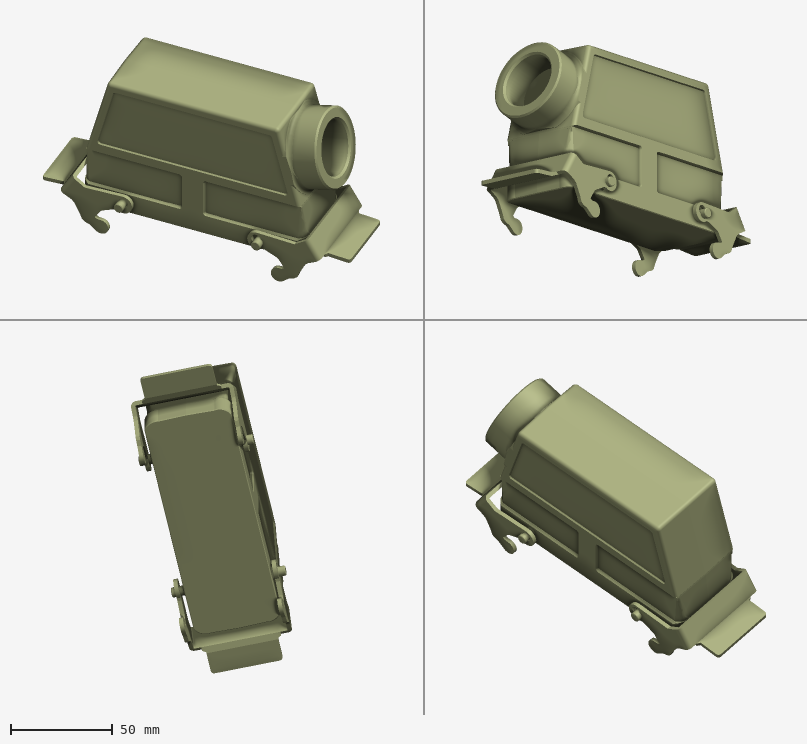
import cadquery as cq
import math


WIDTH = 43.6
HALF_WIDTH = WIDTH / 2
HEIGHT = 75.8
SHOULDER_HEIGHT = 31.5
SHOULDER_HALF_LENGTH = 58.2
BREAK_HEIGHT = 30.5
BREAK_HALF_LENGTH = 58.4
BASE_HEIGHT = 11.6
BASE_HALF_LENGTH = 60.2
END_SLOPE = 15
DRAFT = 1
EDGE_RADIUS = 2.2
BOTTOM_EDGE_CHAMFER = 0.41
SHOULDER_OVERLAP = 3.3
SHOULDER_CORNER = (1.0, 2.2)
BASE_CORNER = (3.6, 7.6)

PANEL_RADIUS = 1.7
UPPER_PANEL_BOTTOM = 36.8
UPPER_PANEL_TOP = 71.0
UPPER_PANEL_HALF_LENGTH = 51.8
UPPER_PANEL_DEPTH = 0.8
LOWER_PANEL_BOTTOM = 11.0
LOWER_PANEL_TOP = 32.0
LOWER_PANEL_INNER_X = 5.6
LOWER_PANEL_DEPTH = 1.5
FLANK_HALF_LENGTH = 13.3
PANEL_TOP_CORNER = (0.8, 1.7)
PANEL_BOTTOM_CORNER = (3.6, 7.1)
PANEL_WALL_TAPER = 30

COLLAR_DIAMETER = 41.6
COLLAR_LENGTH = 15.5
COLLAR_SHOULDER_GAP = 1.0
COLLAR_EDGE_CHAMFER = 0.8
COLLAR_FLARE_RADIUS = 2.5
COLLAR_SINK = 2.5
FLARE_SIDE_CHAMFER = 2.0
FLARE_TOP_MARGIN = 1.0
BORE_DIAMETER = 28.4
BORE_CHAMFER = 1.0

PIN_DIAMETER = 5.0
PIN_X = 37.0
PIN_Z = 6.22
PIN_TIP_Y = 28.62
PIN_CHAMFER = 0.3
PIN_SINK = 3.3
BOSS_BASE_DIAMETER = 6.8
BOSS_HEIGHT = 0.8

SHEET = 2.07
LEVER_HALF_WIDTH = 25.7
LEVER_BEND_RADIUS = 2.7
LEFT_LEVER_OFFSET = 0.2
RIGHT_LEVER_OFFSET = 0.8
EYE_X = 35.92
EYE_Z = 6.88
EYE_RADIUS = 5.0
EYE_HOLE_X = 35.7
EYE_HOLE_Z = 8.0
HOOK_X = 47.8
HOOK_Z = -10.1
HOOK_RADIUS = 4.06
WEB_TOP = (63.5, 15.8)
WEB_BOTTOM = (70.2, 5.3)
TAB_TIP_X = 83.0
TAB_TOP_ROOT_Z = 5.1
TAB_TOP_TIP_Z = 4.5
TAB_HALF_WIDTH = 18.0
TAB_CORNER_RADIUS = 1.7
TAB_ROOT_GAP = 1.5
TAB_FLARE_LENGTH = 1.0
TAB_ROOT_FLARE = 1.8

sin_slope = math.sin(math.radians(END_SLOPE))
cos_slope = math.cos(math.radians(END_SLOPE))
tan_slope = math.tan(math.radians(END_SLOPE))
side_inset = HALF_WIDTH * math.tan(math.radians(DRAFT))
top_half_length = SHOULDER_HALF_LENGTH - (HEIGHT - SHOULDER_HEIGHT) * tan_slope


def make_upper_block():
    """Upper half of the housing: a trapezium drafted to both sides, with rounded edges."""
    leg_z = SHOULDER_HEIGHT - SHOULDER_OVERLAP
    outline = [
        (-SHOULDER_HALF_LENGTH, leg_z),
        (-SHOULDER_HALF_LENGTH, SHOULDER_HEIGHT),
        (-top_half_length, HEIGHT),
        (top_half_length, HEIGHT),
        (SHOULDER_HALF_LENGTH, SHOULDER_HEIGHT),
        (SHOULDER_HALF_LENGTH, leg_z),
    ]
    half = cq.Workplane("XZ").polyline(outline).close().extrude(HALF_WIDTH, taper=DRAFT)
    middle = (SHOULDER_HEIGHT + HEIGHT) / 2
    upper_edges = cq.selectors.BoxSelector(
        (-BASE_HALF_LENGTH, -HALF_WIDTH - 1.7, middle - 1.7), (BASE_HALF_LENGTH, -0.2, HEIGHT + 1.7)
    )
    half = half.edges(upper_edges).fillet(EDGE_RADIUS)
    return half.union(half.mirror("XZ"))


def lower_section(z, half_length, half_width, corner):
    """Plan outline of the lower block: ends slightly pointed at Y = 0, corners curved."""
    corner_x, corner_y = corner
    side_x = half_length - side_inset - corner_x
    end_x = half_length - side_inset
    end_y = half_width - corner_y
    bulge = math.sqrt(0.5)
    arc_x = side_x + corner_x * bulge
    arc_y = end_y + corner_y * bulge
    return (
        cq.Workplane("XY", origin=(0, 0, z))
        .moveTo(half_length, 0)
        .lineTo(end_x, end_y)
        .threePointArc((arc_x, arc_y), (side_x, half_width))
        .lineTo(-side_x, half_width)
        .threePointArc((-arc_x, arc_y), (-end_x, end_y))
        .lineTo(-half_length, 0)
        .lineTo(-end_x, -end_y)
        .threePointArc((-arc_x, -arc_y), (-side_x, -half_width))
        .lineTo(side_x, -half_width)
        .threePointArc((arc_x, -arc_y), (end_x, -end_y))
        .close()
        .wire()
        .val()
    )


def make_lower_block():
    """Upright base, flared middle with rounded ends and flat flanks, and the shoulder break."""
    panel_half_width = HALF_WIDTH - LOWER_PANEL_DEPTH
    edge = BOTTOM_EDGE_CHAMFER
    layers = [
        (
            lower_section(0, BASE_HALF_LENGTH - edge, HALF_WIDTH - edge, BASE_CORNER),
            lower_section(edge, BASE_HALF_LENGTH, HALF_WIDTH, BASE_CORNER),
            lower_section(BASE_HEIGHT, BASE_HALF_LENGTH, HALF_WIDTH, BASE_CORNER),
        ),
        (
            lower_section(BASE_HEIGHT, BASE_HALF_LENGTH, panel_half_width, PANEL_BOTTOM_CORNER),
            lower_section(BREAK_HEIGHT, BREAK_HALF_LENGTH, panel_half_width, PANEL_TOP_CORNER),
        ),
        (
            lower_section(BREAK_HEIGHT, BREAK_HALF_LENGTH, HALF_WIDTH, SHOULDER_CORNER),
            lower_section(SHOULDER_HEIGHT, SHOULDER_HALF_LENGTH, HALF_WIDTH, SHOULDER_CORNER),
        ),
    ]
    base, middle, shoulder = [cq.Workplane(cq.Solid.makeLoft(list(layer), True)) for layer in layers]
    flanks = cq.Workplane("XY", origin=(0, 0, BASE_HEIGHT)).box(
        2 * FLANK_HALF_LENGTH, WIDTH, BREAK_HEIGHT - BASE_HEIGHT, centered=(True, True, False)
    )
    return base.union(middle).union(flanks).union(shoulder)


def recess(outline, depth):
    """Tapered cutters for one panel outline, one for each side of the housing."""
    cutter = (
        cq.Workplane("XZ", origin=(0, HALF_WIDTH, 0))
        .polyline(outline)
        .close()
        .offset2D(-PANEL_RADIUS)
        .offset2D(PANEL_RADIUS)
        .extrude(depth, taper=PANEL_WALL_TAPER)
    )
    return cutter.union(cutter.mirror("XZ"))


def upper_panel():
    rise = UPPER_PANEL_TOP - UPPER_PANEL_BOTTOM
    top_x = UPPER_PANEL_HALF_LENGTH - rise * tan_slope
    outline = [
        (-UPPER_PANEL_HALF_LENGTH, UPPER_PANEL_BOTTOM),
        (-top_x, UPPER_PANEL_TOP),
        (top_x, UPPER_PANEL_TOP),
        (UPPER_PANEL_HALF_LENGTH, UPPER_PANEL_BOTTOM),
    ]
    return recess(outline, UPPER_PANEL_DEPTH)


def lower_panel(side):
    """Panel that runs out through the housing end at side = -1 or +1."""
    inner_x = side * LOWER_PANEL_INNER_X
    outer_x = side * (BASE_HALF_LENGTH + 2 * PANEL_RADIUS)
    outline = [
        (inner_x, LOWER_PANEL_BOTTOM),
        (inner_x, LOWER_PANEL_TOP),
        (outer_x, LOWER_PANEL_TOP),
        (outer_x, LOWER_PANEL_BOTTOM),
    ]
    return recess(outline, LOWER_PANEL_DEPTH)


collar_radius = COLLAR_DIAMETER / 2
collar_rise = COLLAR_SHOULDER_GAP + collar_radius
END_PLANE = cq.Plane(
    origin=(
        SHOULDER_HALF_LENGTH - collar_rise * sin_slope,
        0,
        SHOULDER_HEIGHT + collar_rise * cos_slope,
    ),
    xDir=(0, 1, 0),
    normal=(cos_slope, 0, sin_slope),
)


def make_flare():
    """Concave flare around the collar foot, kept within the sloping end face."""
    outer_radius = collar_radius + COLLAR_FLARE_RADIUS
    foot = (
        cq.Workplane(END_PLANE)
        .workplane(offset=-COLLAR_SINK)
        .circle(outer_radius)
        .extrude(COLLAR_SINK + COLLAR_FLARE_RADIUS)
    )
    groove_centre = END_PLANE.toWorldCoords((0, 0, COLLAR_FLARE_RADIUS))
    groove = cq.Solid.makeTorus(outer_radius, COLLAR_FLARE_RADIUS, groove_centre, END_PLANE.zDir)
    face_window = (
        cq.Workplane(END_PLANE)
        .workplane(offset=-COLLAR_SINK)
        .center(0, FLARE_TOP_MARGIN / 2)
        .rect(WIDTH, COLLAR_DIAMETER + FLARE_TOP_MARGIN)
        .extrude(COLLAR_SINK + COLLAR_FLARE_RADIUS)
        .faces(cq.selectors.DirectionMinMaxSelector(END_PLANE.zDir))
        .edges("not |Y")
        .chamfer(FLARE_SIDE_CHAMFER)
    )
    return foot.cut(cq.Workplane(groove)).intersect(face_window)


def make_collar():
    tube = (
        cq.Workplane(END_PLANE)
        .workplane(offset=-COLLAR_SINK)
        .circle(collar_radius)
        .extrude(COLLAR_SINK + COLLAR_LENGTH)
        .faces(cq.selectors.DirectionMinMaxSelector(END_PLANE.zDir))
        .chamfer(COLLAR_EDGE_CHAMFER)
    )
    return tube.union(make_flare())


def make_bore():
    """Blind bore from the collar mouth down to the housing end face."""
    bore = cq.Workplane(END_PLANE).circle(BORE_DIAMETER / 2).extrude(COLLAR_LENGTH)
    countersink = (
        cq.Workplane(END_PLANE)
        .workplane(offset=COLLAR_LENGTH)
        .circle(BORE_DIAMETER / 2 + BORE_CHAMFER)
        .workplane(offset=-BORE_CHAMFER)
        .circle(BORE_DIAMETER / 2)
        .loft()
    )
    return bore.union(countersink)


def make_pin(side):
    """Pins on a conical boss, on both faces of the housing at side = -1 or +1."""
    face = cq.Workplane("XZ", origin=(side * PIN_X, -HALF_WIDTH + PIN_SINK, PIN_Z))
    pin = (
        face.circle(PIN_DIAMETER / 2)
        .extrude(PIN_TIP_Y - HALF_WIDTH + PIN_SINK)
        .faces("<Y")
        .chamfer(PIN_CHAMFER)
    )
    boss = (
        cq.Workplane("XZ", origin=(side * PIN_X, -HALF_WIDTH, PIN_Z))
        .circle(BOSS_BASE_DIAMETER / 2)
        .workplane(offset=BOSS_HEIGHT)
        .circle(PIN_DIAMETER / 2)
        .loft()
    )
    pin = pin.union(boss)
    return pin.union(pin.mirror("XZ"))


def make_housing():
    housing = make_lower_block().union(make_upper_block())
    housing = housing.cut(upper_panel())
    for side in (-1, 1):
        housing = housing.cut(lower_panel(side))
        housing = housing.union(make_pin(side))
    return housing.union(make_collar()).cut(make_bore())


web_length = math.dist(WEB_TOP, WEB_BOTTOM)
web_down = tuple((b - a) / web_length for a, b in zip(WEB_TOP, WEB_BOTTOM))
web_inward = (web_down[1], -web_down[0])


def inside_web(point, depth):
    """Point at the given depth below the web's outer face."""
    return tuple(p + depth * d for p, d in zip(point, web_inward))


def lever_outline():
    """Side outline of the +X lever: web edge, belly, hook, and the arm around the pin eye."""
    return (
        cq.Workplane("XZ", origin=(0, LEVER_HALF_WIDTH, 0))
        .moveTo(*WEB_TOP)
        .lineTo(*WEB_BOTTOM)
        .lineTo(*inside_web(WEB_BOTTOM, SHEET))
        .lineTo(63.7, 1.8)
        .lineTo(62.0, 0.3)
        .lineTo(58.9, -5.8)
        .lineTo(57.9, -8.5)
        .lineTo(56.4, -9.6)
        .lineTo(53.6, -10.6)
        .lineTo(50.3, -13.3)
        .threePointArc((HOOK_X - HOOK_RADIUS, HOOK_Z), (HOOK_X, HOOK_Z + HOOK_RADIUS))
        .lineTo(49.8, -6.0)
        .lineTo(51.0, -5.1)
        .lineTo(47.8, -0.5)
        .lineTo(46.8, 0.2)
        .lineTo(40.5, 2.8)
        .lineTo(39.0, 3.0)
        .threePointArc((EYE_X - EYE_RADIUS, EYE_Z), (EYE_X, EYE_Z + EYE_RADIUS))
        .lineTo(45.5, 11.53)
        .lineTo(56.4, 11.1)
        .close()
    )


def make_tab():
    """Finger tab bent out from the foot of the web, widening where it meets the web."""
    root_x = WEB_BOTTOM[0] + TAB_ROOT_GAP
    profile = [
        WEB_BOTTOM,
        (root_x, TAB_TOP_ROOT_Z),
        (TAB_TIP_X, TAB_TOP_TIP_Z),
        (TAB_TIP_X, TAB_TOP_TIP_Z - SHEET),
        (root_x, TAB_TOP_ROOT_Z - SHEET),
        inside_web(WEB_BOTTOM, SHEET),
    ]
    root_half_width = TAB_HALF_WIDTH + TAB_ROOT_FLARE
    strip = cq.Workplane("XZ").polyline(profile).close().extrude(root_half_width, both=True)
    flare_x = WEB_BOTTOM[0] + TAB_FLARE_LENGTH
    inner_x = WEB_BOTTOM[0] - SHEET
    plan = (
        cq.Workplane("XY")
        .polyline([
            (inner_x, -root_half_width),
            (WEB_BOTTOM[0], -root_half_width),
            (flare_x, -TAB_HALF_WIDTH),
            (TAB_TIP_X, -TAB_HALF_WIDTH),
            (TAB_TIP_X, TAB_HALF_WIDTH),
            (flare_x, TAB_HALF_WIDTH),
            (WEB_BOTTOM[0], root_half_width),
            (inner_x, root_half_width),
        ])
        .close()
        .extrude(WEB_TOP[1])
        .edges("|Z and >X")
        .fillet(TAB_CORNER_RADIUS)
    )
    return strip.intersect(plan)


def make_lever(side, offset):
    """Locking lever at side = -1 or +1: two hooked side plates joined by a sloping web."""
    lever = lever_outline().extrude(2 * LEVER_HALF_WIDTH)
    inner_half_width = LEVER_HALF_WIDTH - SHEET
    top = inside_web(WEB_TOP, SHEET)
    bottom = inside_web(WEB_BOTTOM, SHEET)
    reach = WEB_TOP[0]
    space = (
        cq.Workplane("XZ")
        .polyline([
            tuple(t - web_length * d for t, d in zip(top, web_down)),
            tuple(b + web_length * d for b, d in zip(bottom, web_down)),
            (bottom[0], -reach),
            (0, -reach),
            (0, reach),
        ])
        .close()
        .extrude(inner_half_width, both=True)
    )
    lever = lever.cut(space)
    bend_edges = lever.edges(cq.selectors.ParallelDirSelector(cq.Vector(web_down[0], 0, web_down[1])))
    outer = [e for e in bend_edges.vals() if abs(e.Center().y) > LEVER_HALF_WIDTH - SHEET / 2]
    inner = [e for e in bend_edges.vals() if abs(e.Center().y) < LEVER_HALF_WIDTH - SHEET / 2]
    lever = lever.newObject(outer).fillet(LEVER_BEND_RADIUS)
    lever = lever.newObject(inner).fillet(LEVER_BEND_RADIUS - SHEET)
    lever = lever.union(make_tab())
    for hole_x, hole_z in ((EYE_HOLE_X, EYE_HOLE_Z), (PIN_X, PIN_Z)):
        hole = cq.Workplane("XZ", origin=(hole_x, 0, hole_z)).circle(PIN_DIAMETER / 2)
        lever = lever.cut(hole.extrude(PIN_TIP_Y, both=True))
    if side < 0:
        lever = lever.mirror("YZ")
    return lever.translate((0, offset, 0))


housing = make_housing()
left_lever = make_lever(-1, LEFT_LEVER_OFFSET)
right_lever = make_lever(1, RIGHT_LEVER_OFFSET)
result = cq.Compound.makeCompound([housing.val(), left_lever.val(), right_lever.val()])